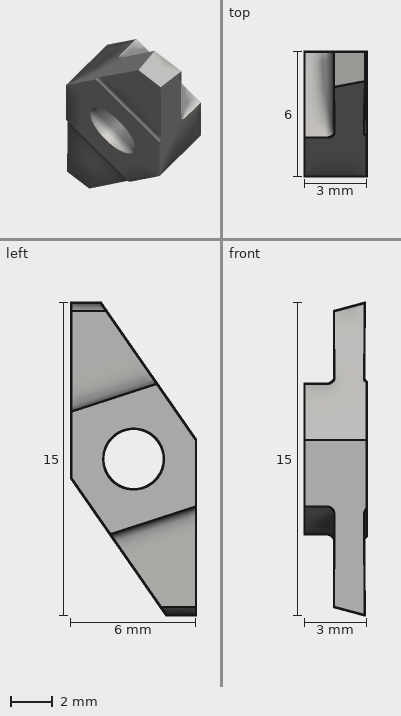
import cadquery as cq
import math

thickness = 3.0
width = 6.0
height = 15.0

tip_width = 1.42
flank_corner_z = 0.92
hole_diameter = 2.9

front_x = -0.06
front_tip_x = -0.09
back_x = 1.36
tip_x = 1.41
shoulder_angle = 18.0
shoulder_distance = 3.09
shoulder_radius = 0.38
tip_relief_angle = 15.0

half_x = thickness / 2
half_y = width / 2
half_z = height / 2
cut_reach = height
arc_center = shoulder_distance + shoulder_radius

shoulder_tilt = math.radians(shoulder_angle)
shoulder_plane = cq.Plane(
    origin=(0, 0, 0),
    xDir=(1, 0, 0),
    normal=(0, -math.cos(shoulder_tilt), math.sin(shoulder_tilt)),
)
tip_distance = half_z * math.cos(shoulder_tilt) + half_y * math.sin(shoulder_tilt)


def blank():
    """Hexagonal plate with its central hole."""
    upper_half = [
        (-half_y, flank_corner_z),
        (half_y - tip_width, half_z),
        (half_y, half_z),
    ]
    lower_half = [(-y, -z) for y, z in upper_half]
    plate = cq.Workplane("YZ").polyline(upper_half + lower_half).close().extrude(half_x, both=True)
    hole = cq.Workplane("YZ").circle(hole_diameter / 2).extrude(thickness, both=True)
    return plate.cut(hole)


def front_relief():
    """Material removed on the -X side, with a full fillet at the shoulder."""
    diagonal = shoulder_radius * math.sqrt(0.5)
    fillet_center_x = front_x - shoulder_radius
    return (
        cq.Workplane(shoulder_plane)
        .moveTo(-thickness, shoulder_distance)
        .lineTo(fillet_center_x, shoulder_distance)
        .threePointArc((fillet_center_x + diagonal, arc_center - diagonal), (front_x, arc_center))
        .lineTo(front_tip_x, tip_distance)
        .lineTo(front_tip_x, cut_reach)
        .lineTo(-thickness, cut_reach)
        .close()
        .extrude(cut_reach, both=True)
    )


def back_relief():
    """Shallow relief on the +X side, rising slightly to the tip and blended by part of a shoulder arc."""
    depth = half_x - back_x
    sweep = math.acos(1 - depth / shoulder_radius)
    fillet_center_x = back_x + shoulder_radius
    arc_middle = (
        fillet_center_x - shoulder_radius * math.cos(sweep / 2),
        arc_center - shoulder_radius * math.sin(sweep / 2),
    )
    arc_end = (half_x, arc_center - shoulder_radius * math.sin(sweep))
    return (
        cq.Workplane(shoulder_plane)
        .moveTo(back_x, arc_center)
        .threePointArc(arc_middle, arc_end)
        .lineTo(thickness, arc_end[1])
        .lineTo(thickness, cut_reach)
        .lineTo(tip_x, cut_reach)
        .lineTo(tip_x, tip_distance)
        .close()
        .extrude(cut_reach, both=True)
    )


def tip_relief():
    """Sloped end face, falling away from the cutting edge toward -X."""
    slope_run = tip_x + thickness
    slope_drop = slope_run * math.tan(math.radians(tip_relief_angle))
    return (
        cq.Workplane("XZ")
        .polyline([(tip_x, half_z), (-thickness, half_z - slope_drop), (-thickness, half_z)])
        .close()
        .extrude(width, both=True)
    )


result = blank()
for cutter in (front_relief(), back_relief(), tip_relief()):
    opposite_cutter = cutter.rotate((0, 0, 0), (1, 0, 0), 180)
    result = result.cut(cutter).cut(opposite_cutter)